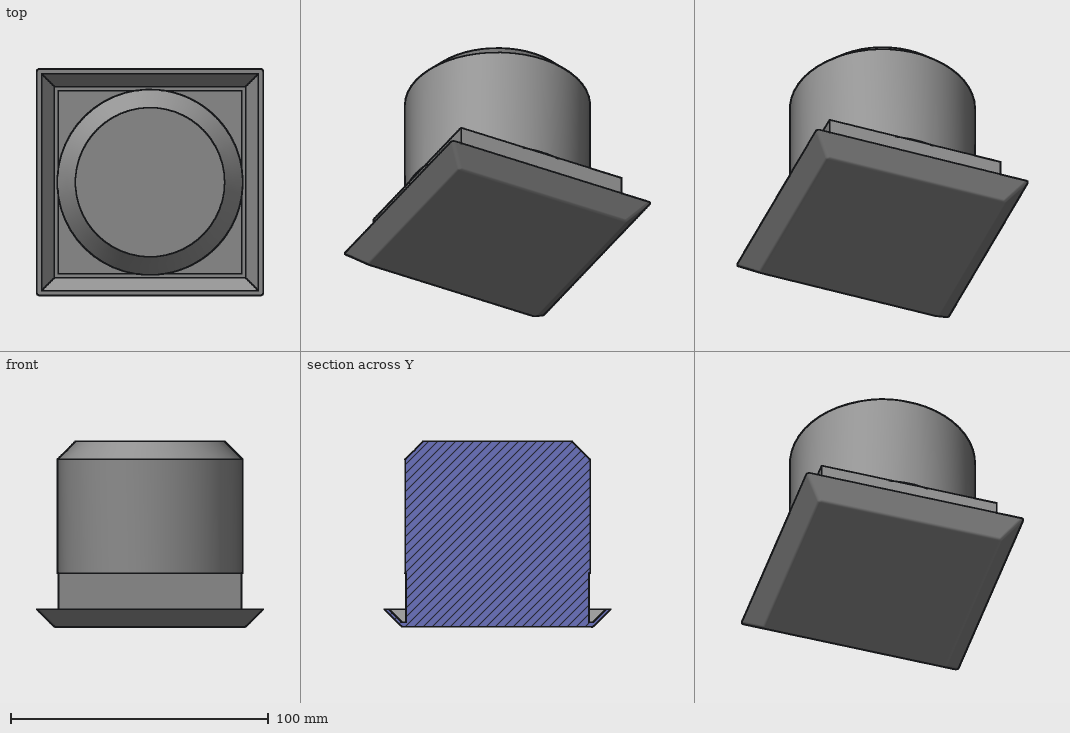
import cadquery as cq

tray_height = 7.0
block_height = 14.0
total_height = 72.2

rim_side = 88.0
base_side = 73.9
rim_width = 1.9
floor_thickness = 2.0
edge_radius = 1.9

block_side = 71.0
head_diameter = 72.0
head_chamfer = 7.0

block_top = tray_height + block_height
head_height = total_height - block_top


def square_frustum(bottom_side, top_side, bottom_z, top_z):
    """Solid with square ends, flaring from bottom_side to top_side."""
    return (
        cq.Workplane("XY", origin=(0, 0, bottom_z))
        .rect(bottom_side, bottom_side)
        .workplane(offset=top_z - bottom_z)
        .rect(top_side, top_side)
        .loft(ruled=True)
    )


def make_tray():
    """Flared tray with rounded outer edges below the rim and a 45 degree recess."""
    outer = square_frustum(base_side, rim_side, 0, tray_height)
    outer = outer.edges("not(>Z)").fillet(edge_radius)

    opening_side = rim_side - 2 * rim_width
    recess_depth = tray_height - floor_thickness
    recess_floor_side = opening_side - 2 * recess_depth
    recess = square_frustum(recess_floor_side, opening_side, floor_thickness, tray_height)
    return outer.cut(recess)


def make_block():
    """Square block standing on the tray floor."""
    return (
        cq.Workplane("XY", origin=(0, 0, floor_thickness))
        .rect(block_side, block_side)
        .extrude(block_top - floor_thickness)
    )


def make_head():
    """Round head with a chamfered top edge."""
    return (
        cq.Workplane("XY", origin=(0, 0, block_top))
        .circle(head_diameter / 2)
        .extrude(head_height)
        .faces(">Z")
        .edges()
        .chamfer(head_chamfer)
    )


result = make_tray().union(make_block()).union(make_head())